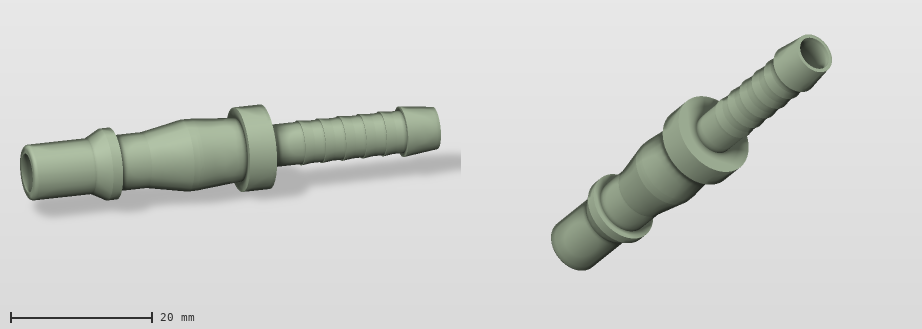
import cadquery as cq
import math

length = 60.0
collar_radius = 6.0
stem_bore_radius = 2.45
plug_bore_radius = 2.75

plug_radius = 3.95
nose_fillet = 0.55
ridge_start = 9.0
ridge_crest = 11.15
ridge_end = 12.6
bulge_start = 17.15
bulge_crest = 23.1
bulge_blend_start = 24.0
bulge_blend_end = 24.55
crest_radius = 5.1
bulge_back_radius = 4.5

collar_start = 31.0
collar_end = 35.0

stem_radius = 3.0
rib_radius = 3.2
rib_count = 5
rib_pitch = 3.0
rib_length = rib_pitch / 2
barb_radius = 3.6
barb_length = 5.0
barb_shoulder = length - barb_length

blend_length = bulge_blend_end - bulge_blend_start
taper_slope = (crest_radius - bulge_back_radius) / (collar_start - bulge_blend_start)
taper_angle = math.atan(taper_slope)
blend_end_radius = crest_radius - blend_length * math.tan(taper_angle / 2)


def plug_outline(profile):
    """Rounded nose, locking ridge and double-tapered bulge."""
    return (
        profile.lineTo(plug_radius - nose_fillet, 0)
        .radiusArc((plug_radius, nose_fillet), -nose_fillet)
        .lineTo(plug_radius, ridge_start)
        .lineTo(crest_radius, ridge_crest)
        .lineTo(crest_radius, ridge_end)
        .lineTo(plug_radius, ridge_end)
        .lineTo(plug_radius, bulge_start)
        .lineTo(crest_radius, bulge_crest)
        .lineTo(crest_radius, bulge_blend_start)
        .tangentArcPoint((blend_end_radius, bulge_blend_end), relative=False)
        .lineTo(bulge_back_radius, collar_start)
    )


def collar_outline(profile):
    """Plain collar between the plug and the hose stem."""
    return (
        profile.lineTo(collar_radius, collar_start)
        .lineTo(collar_radius, collar_end)
        .lineTo(stem_radius, collar_end)
    )


def stem_outline(profile):
    """Stem with saw-tooth ribs and a tapered barb at the tip."""
    for index in reversed(range(rib_count)):
        rib_shoulder = barb_shoulder - rib_pitch * (index + 1)
        profile = (
            profile.lineTo(stem_radius, rib_shoulder)
            .lineTo(rib_radius, rib_shoulder)
            .lineTo(stem_radius, rib_shoulder + rib_length)
        )
    return (
        profile.lineTo(stem_radius, barb_shoulder)
        .lineTo(barb_radius, barb_shoulder)
        .lineTo(stem_radius, length)
        .lineTo(stem_bore_radius, length)
    )


profile = cq.Workplane("XY").moveTo(plug_bore_radius, 0)
profile = plug_outline(profile)
profile = collar_outline(profile)
profile = stem_outline(profile)
profile = (
    profile.lineTo(stem_bore_radius, collar_start)
    .lineTo(plug_bore_radius, collar_start)
    .close()
)
result = profile.revolve(360, (0, 0), (0, 1)).translate((0, -length / 2, 0))